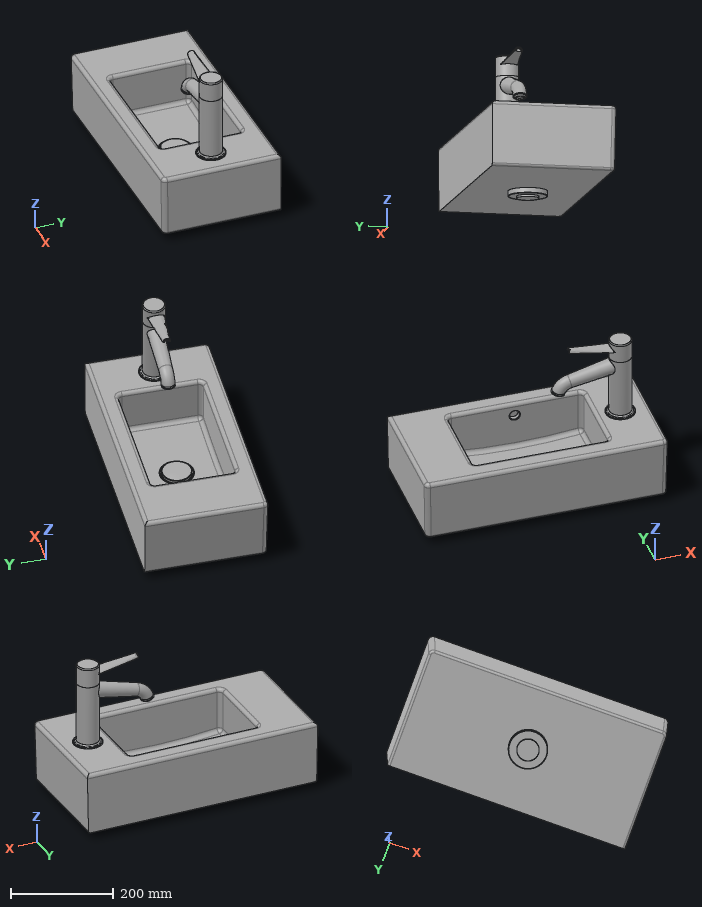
import cadquery as cq
import math

BASIN_LENGTH = 499.5
BASIN_DEPTH = 250.0
BASIN_HEIGHT = 130.0
DRAFT = math.tan(math.radians(1.1))
CORNER_ROUND = 10.0
TOP_ROUND = 7.5
BOTTOM_ROUND = 5.0

RIM_ROUND = 7.5
BOWL_LENGTH = 279.0
BOWL_WIDTH = 171.0
BOWL_CORNER = 9.0
FLOOR_ROUND = 9.0
FLOOR_DEPTH = 103.0
FLOOR_CURVE = 1199.5

OVERFLOW_DIAMETER = 20.0
OVERFLOW_CHAMFER = 1.5
OVERFLOW_DEPTH = 10.0
OVERFLOW_Z = -28.0

FLANGE_DIAMETER = 69.0
FLANGE_RISE = 1.0
FLANGE_TOP_Z = -FLOOR_DEPTH + FLANGE_RISE
FLANGE_THICKNESS = 4.0
FLANGE_CHAMFER = 1.0
DISH_RIM_DIAMETER = 65.0
DISH_DEPTH = 2.5
STEM_DIAMETER = 44.0
COLLAR_DIAMETER = 77.5
COLLAR_HEIGHT = 10.5
COLLAR_CHAMFER = 1.0
STEM_END_Z = -144.5
PLUG_DIAMETER = 60.0
PLUG_FACE_DIAMETER = 58.0
PLUG_EDGE = 6.5
PLUG_DOME = 6.0

TAP_X = 190.0
TAP_DIAMETER = 46.0
RING_BASE_DIAMETER = 60.0
RING_TOP_DIAMETER = 57.0
RING_HUB_DIAMETER = 52.0
RING_EDGE = 0.5
RING_SHOULDER_Z = 2.0
RING_HUB_Z = 3.0
RING_HEIGHT = 5.5
HEAD_Z = 133.0
TAP_TOP_Z = 174.0
TAP_TOP_INSET = 2.0
TAP_TOP_DROP = 2.5

SPOUT_Z = 117.5
SPOUT_ANGLE = 13.0
SPOUT_REACH = 107.0
SPOUT_ROOT_OFFSET = 10.0
SPOUT_ROOT_DIAMETER = 34.5
SPOUT_DIAMETER = 27.5
BEND_RADIUS = 32.0
BEND_ANGLE = 62.0
SPOUT_YAW = 0.9

AERATOR_DIAMETER = 24.0
AERATOR_END_DIAMETER = 20.0
AERATOR_BORE = 16.0
AERATOR_HEIGHT = 3.0
AERATOR_SEAT = 3.0

LEVER_Z = 153.5
LEVER_ANGLE = 6.7
LEVER_LENGTH = 107.5
LEVER_HEIGHT = 8.0
LEVER_TIP_WIDTH = 15.0
LEVER_ROOT_WIDTH = 37.5
LEVER_TIP_WALL = 2.5
LEVER_RECESS_DEPTH = 3.0


def revolve_profile(points, x=0.0):
    """Solid of revolution about the vertical line at x, from (radius, z) points."""
    profile = cq.Workplane("XZ").polyline(points).close()
    return profile.revolve(360, (0, 0, 0), (0, 1, 0)).translate((x, 0, 0))


def basin_block():
    """Drafted block with an upright back face."""
    top_growth = TOP_ROUND * DRAFT
    bottom_shrink = (BASIN_HEIGHT - TOP_ROUND) * DRAFT
    back = BASIN_DEPTH / 2

    def section(z, growth):
        half = BASIN_LENGTH / 2 + growth
        front = -back - growth
        corners = [(-half, front, z), (half, front, z), (half, back, z), (-half, back, z)]
        return cq.Wire.makePolygon([cq.Vector(*c) for c in corners], close=True)

    loft = cq.Solid.makeLoft([section(-BASIN_HEIGHT, -bottom_shrink), section(0, top_growth)], True)
    block = cq.Workplane(obj=loft)
    block = block.faces("<Y").edges("not |X").fillet(CORNER_ROUND)
    block = block.faces(">Z").edges().fillet(TOP_ROUND)
    return block.faces("<Z").edges("not >Y").fillet(BOTTOM_ROUND)


def bowl_cavity():
    """Bowl volume with a floor that curves up towards both ends."""
    half = BOWL_LENGTH / 2
    end_depth = FLOOR_DEPTH - FLOOR_CURVE + math.sqrt(FLOOR_CURVE ** 2 - half ** 2)
    bowl = (
        cq.Workplane("XZ")
        .moveTo(-half, 0)
        .lineTo(-half, -end_depth)
        .threePointArc((0, -FLOOR_DEPTH), (half, -end_depth))
        .lineTo(half, 0)
        .close()
        .extrude(BOWL_WIDTH / 2, both=True)
    )
    bowl = bowl.edges("|Z").fillet(BOWL_CORNER)
    return bowl.faces("<Z").edges().fillet(FLOOR_ROUND)


def make_basin():
    """Block with a rounded bowl, an overflow hole and an opening for the drain."""
    basin = basin_block().cut(bowl_cavity())
    rim = basin.faces(">Z").wires(cq.selectors.AreaNthSelector(0)).edges()
    basin = rim.fillet(RIM_ROUND)
    return basin.cut(overflow_hole()).cut(drain_recess()).cut(make_drain())


def overflow_hole():
    """Blind hole in the back wall of the bowl with a chamfered mouth."""
    wall = BOWL_WIDTH / 2
    radius = OVERFLOW_DIAMETER / 2
    mouth = radius + OVERFLOW_CHAMFER
    profile = [
        (0, 0),
        (mouth, 0),
        (radius, OVERFLOW_CHAMFER),
        (radius, OVERFLOW_DEPTH),
        (0, OVERFLOW_DEPTH),
    ]
    hole = cq.Workplane("XY").polyline(profile).close().revolve(360, (0, 0, 0), (0, 1, 0))
    return hole.translate((0, wall, OVERFLOW_Z))


def make_drain():
    """Flange let into the bowl floor, stem through the basin, collar underneath."""
    flange = FLANGE_DIAMETER / 2
    flange_bottom = FLANGE_TOP_Z - FLANGE_THICKNESS
    stem = STEM_DIAMETER / 2
    collar = COLLAR_DIAMETER / 2
    collar_end = -BASIN_HEIGHT - COLLAR_HEIGHT
    return revolve_profile([
        (0, FLANGE_TOP_Z - DISH_DEPTH),
        (PLUG_DIAMETER / 2, FLANGE_TOP_Z - DISH_DEPTH),
        (DISH_RIM_DIAMETER / 2, FLANGE_TOP_Z),
        (flange - FLANGE_CHAMFER, FLANGE_TOP_Z),
        (flange, FLANGE_TOP_Z - FLANGE_CHAMFER),
        (flange, flange_bottom),
        (stem, flange_bottom),
        (stem, -BASIN_HEIGHT),
        (collar, -BASIN_HEIGHT),
        (collar, collar_end + COLLAR_CHAMFER),
        (collar - COLLAR_CHAMFER, collar_end),
        (stem, collar_end),
        (stem, STEM_END_Z),
        (0, STEM_END_Z),
    ])


def drain_recess():
    """Round recess in the bowl floor that clears everything above the flange."""
    flange_bottom = FLANGE_TOP_Z - FLANGE_THICKNESS
    recess = cq.Workplane("XY", origin=(0, 0, flange_bottom)).circle(FLANGE_DIAMETER / 2)
    return recess.extrude(FLOOR_DEPTH / 2)


def make_plug():
    """Domed disc with a bevelled edge, resting in the dish of the flange."""
    seat = FLANGE_TOP_Z - DISH_DEPTH
    edge = PLUG_DIAMETER / 2
    face = PLUG_FACE_DIAMETER / 2
    shoulder = seat + PLUG_EDGE
    top = shoulder + PLUG_DOME
    dome_radius = (face ** 2 + PLUG_DOME ** 2) / (2 * PLUG_DOME)
    middle_x = face / 2
    middle_z = top - dome_radius + math.sqrt(dome_radius ** 2 - middle_x ** 2)
    profile = (
        cq.Workplane("XZ")
        .moveTo(0, seat)
        .lineTo(edge, seat)
        .lineTo(edge, shoulder - (edge - face))
        .lineTo(face, shoulder)
        .threePointArc((middle_x, middle_z), (0, top))
        .close()
    )
    return profile.revolve(360, (0, 0, 0), (0, 1, 0))


def make_ring():
    """Bevelled base ring that flares out from the foot of the tap."""
    return revolve_profile([
        (0, 0),
        (RING_BASE_DIAMETER / 2, 0),
        (RING_BASE_DIAMETER / 2, RING_EDGE),
        (RING_TOP_DIAMETER / 2, RING_SHOULDER_Z),
        (RING_HUB_DIAMETER / 2, RING_HUB_Z),
        (TAP_DIAMETER / 2, RING_HEIGHT),
        (0, RING_HEIGHT),
    ], TAP_X)


def direction(drop):
    """Unit vector towards -X, dropping by the given angle in degrees."""
    return cq.Vector(-math.cos(math.radians(drop)), 0, -math.sin(math.radians(drop)))


def turned_with_spout(body):
    """Turn a body about the tap axis, from straight along X to the spout direction."""
    return body.rotate((TAP_X, 0, 0), (TAP_X, 0, 1), -SPOUT_YAW)


SPOUT_ORIGIN = cq.Vector(TAP_X, 0, SPOUT_Z)
SPOUT_ROOT = SPOUT_ORIGIN + direction(SPOUT_ANGLE) * SPOUT_ROOT_OFFSET
SPOUT_JOINT = SPOUT_ORIGIN + direction(SPOUT_ANGLE) * SPOUT_REACH
BEND_CENTRE = SPOUT_JOINT + direction(SPOUT_ANGLE + 90) * BEND_RADIUS
OUTLET_ANGLE = SPOUT_ANGLE + BEND_ANGLE
OUTLET = BEND_CENTRE - direction(OUTLET_ANGLE + 90) * BEND_RADIUS


def make_spout():
    """Tapered tube out of the column, with an elbow that turns it down to the outlet."""
    tube = cq.Solid.makeCone(
        SPOUT_ROOT_DIAMETER / 2,
        SPOUT_DIAMETER / 2,
        SPOUT_REACH - SPOUT_ROOT_OFFSET,
        SPOUT_ROOT,
        direction(SPOUT_ANGLE),
    )
    joint_plane = cq.Plane(SPOUT_JOINT, (0, 1, 0), direction(SPOUT_ANGLE))
    bend_offset = joint_plane.toLocalCoords(BEND_CENTRE)
    elbow = (
        cq.Workplane(joint_plane)
        .circle(SPOUT_DIAMETER / 2)
        .revolve(BEND_ANGLE, (bend_offset.x + 5, bend_offset.y, 0), (bend_offset.x, bend_offset.y, 0))
    )
    return turned_with_spout(elbow.union(cq.Workplane(obj=tube)))


def make_tap_body():
    """Column and spout in one piece, with a seat for the aerator."""
    column = (
        cq.Workplane("XY", origin=(TAP_X, 0, RING_HEIGHT))
        .circle(TAP_DIAMETER / 2)
        .extrude(HEAD_Z - RING_HEIGHT)
    )
    return column.union(make_spout()).cut(make_aerator())


def make_aerator():
    """Disc seated in the outlet with a tapered end standing proud."""
    seat = AERATOR_DIAMETER / 2
    end = AERATOR_END_DIAMETER / 2
    along = direction(OUTLET_ANGLE)
    disc = cq.Solid.makeCylinder(seat, AERATOR_SEAT, OUTLET - along * AERATOR_SEAT, along)
    nose = cq.Solid.makeCone(seat, end, AERATOR_HEIGHT, OUTLET, along)
    bore = cq.Solid.makeCylinder(AERATOR_BORE / 2, AERATOR_HEIGHT, OUTLET, along)
    return turned_with_spout(cq.Workplane(obj=disc.fuse(nose).cut(bore)))


def make_lever():
    """Tapered half-round lever with an arched recess in its free end."""
    plane = cq.Plane((TAP_X, 0, LEVER_Z), (0, -1, 0), direction(-LEVER_ANGLE))

    def half_round(workplane, width, height):
        return (
            workplane.moveTo(-width / 2, 0)
            .threePointArc((0, height), (width / 2, 0))
            .close()
        )

    root = half_round(cq.Workplane(plane), LEVER_ROOT_WIDTH, LEVER_HEIGHT)
    tip = root.workplane(offset=LEVER_LENGTH)
    lever = half_round(tip, LEVER_TIP_WIDTH, LEVER_HEIGHT).loft(ruled=True)

    recess_start = cq.Workplane(plane).workplane(offset=LEVER_LENGTH - LEVER_RECESS_DEPTH)
    recess_width = LEVER_TIP_WIDTH - 2 * LEVER_TIP_WALL
    recess = half_round(recess_start, recess_width, LEVER_HEIGHT - LEVER_TIP_WALL)
    return lever.cut(recess.extrude(LEVER_RECESS_DEPTH))


def make_head():
    """Turning head of the tap: bevelled cap and lever in one piece."""
    radius = TAP_DIAMETER / 2
    cap = revolve_profile([
        (0, HEAD_Z),
        (radius, HEAD_Z),
        (radius, TAP_TOP_Z - TAP_TOP_DROP),
        (radius - TAP_TOP_INSET, TAP_TOP_Z),
        (0, TAP_TOP_Z),
    ], TAP_X)
    return cap.union(make_lever())


basin = make_basin()
drain = make_drain()
plug = make_plug()
ring = make_ring()
tap_body = make_tap_body()
aerator = make_aerator()
head = make_head()

result = cq.Compound.makeCompound([
    basin.val(),
    drain.val(),
    plug.val(),
    ring.val(),
    tap_body.val(),
    aerator.val(),
    head.val(),
])